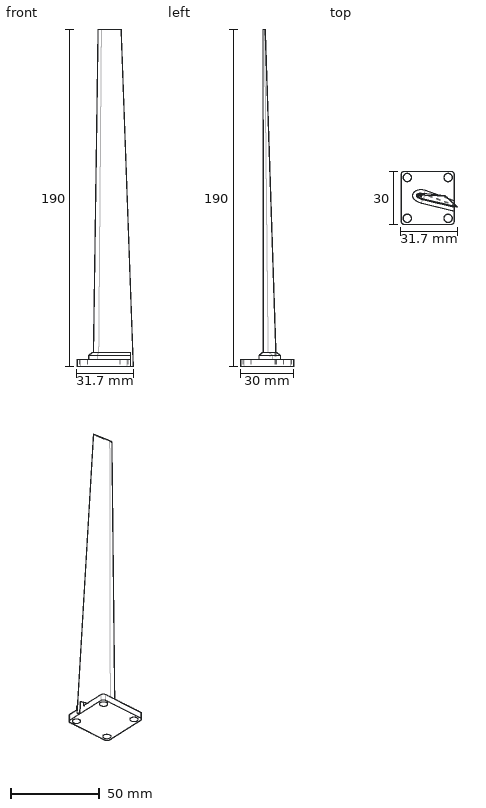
import cadquery as cq
import math

plate_side = 30.0
plate_thickness = 4.0
corner_radius = 1.9
hole_diameter = 4.5
hole_spacing = 23.0

blade_height = 190.0
root_nose = (-5.9, 1.7)
root_tail = (16.7, -5.1)
root_thickness = 2.7
tip_nose = (-3.2, 2.0)
tip_tail = (9.9, 1.1)
tip_thickness = 1.0
tail_thickness = 0.2
shoulder_fraction = 0.15

collar_margin = 2.5
collar_wall_height = 2.3
collar_chamfer_height = 1.7
collar_chamfer_width = 2.0


def airfoil(nose, tail, thickness, level, margin=0):
    """Round-nosed section with flat flanks and a blunt tail, widened by a margin."""
    chord_x = tail[0] - nose[0]
    chord_y = tail[1] - nose[1]
    chord = math.hypot(chord_x, chord_y)

    def point(along, across):
        return (
            nose[0] + (along * chord_x - across * chord_y) / chord,
            nose[1] + (along * chord_y + across * chord_x) / chord,
        )

    half = thickness / 2 + margin
    half_tail = tail_thickness / 2 + margin
    shoulder = shoulder_fraction * chord
    backward = cq.Vector(nose[0] - tail[0], nose[1] - tail[1])
    return (
        cq.Workplane("XY", origin=(0, 0, level))
        .moveTo(*point(chord + margin, half_tail))
        .lineTo(*point(shoulder, half))
        .spline(
            [point(-margin, 0), point(shoulder, -half)],
            tangents=[backward, -backward],
            includeCurrent=True,
        )
        .lineTo(*point(chord + margin, -half_tail))
        .close()
    )


def ruled_body(lower_section, upper_section):
    return cq.Workplane(cq.Solid.makeLoft([lower_section.val(), upper_section.val()], True))


def make_plate():
    plate = cq.Workplane("XY").rect(plate_side, plate_side).extrude(plate_thickness)
    plate = plate.edges("|Z").fillet(corner_radius)
    return (
        plate.faces(">Z").workplane()
        .rect(hole_spacing, hole_spacing, forConstruction=True)
        .vertices().hole(hole_diameter)
    )


def make_blade():
    root = airfoil(root_nose, root_tail, root_thickness, 0)
    tip = airfoil(tip_nose, tip_tail, tip_thickness, blade_height)
    return ruled_body(root, tip)


def make_collar():
    """Chamfered rim around the root, cut flush with the side of the plate."""
    shoulder_level = plate_thickness + collar_wall_height
    top_level = shoulder_level + collar_chamfer_height

    def rim(level, margin):
        return airfoil(root_nose, root_tail, root_thickness, level, margin)

    wall = rim(plate_thickness, collar_margin).extrude(collar_wall_height)
    chamfer = ruled_body(
        rim(shoulder_level, collar_margin),
        rim(top_level, collar_margin - collar_chamfer_width),
    )
    plate_column = cq.Workplane("XY").rect(plate_side, plate_side).extrude(top_level)
    return wall.union(chamfer).intersect(plate_column)


result = make_plate().union(make_collar()).union(make_blade())